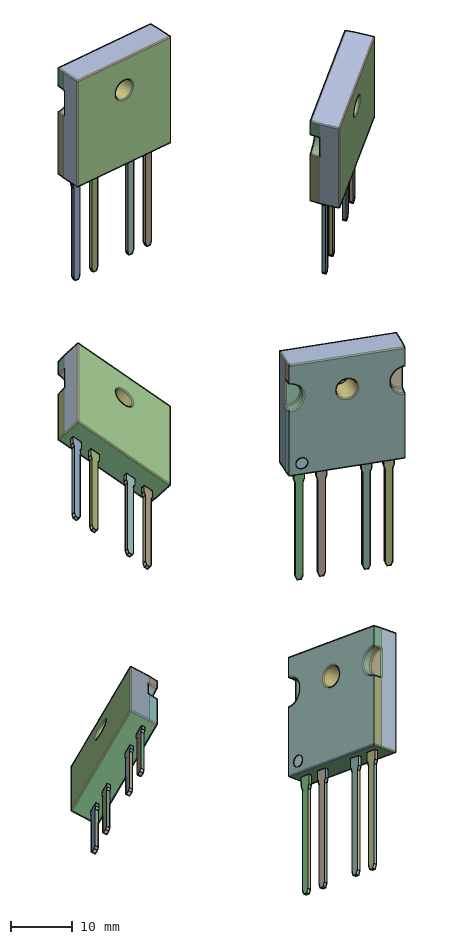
import cadquery as cq

THICKNESS = 5.05
WIDTH = 19.9
TOTAL_HEIGHT = 41.25
HEIGHT = 20.8
PARTING_X = 1.55
TAPER_INSET = 0.12
EDGE_ROUND = 0.2
SELECT_MARGIN = 0.02

HOLE_Z = 14.7
HOLE_DIAMETER = 3.6

NOTCH_Y = 9.82
NOTCH_DIAMETER = 4.95
NOTCH_DEPTH = 1.65
NOTCH_FLOOR_ROUND = 0.2

MARK_DIAMETER = 2.02
MARK_Y = 7.65
MARK_Z = 2.1
MARK_DEPTH = 0.1

LEAD_YS = (-7.6, -3.8, 3.8, 7.6)
LEAD_THICKNESS = 0.6
LEAD_LENGTH = TOTAL_HEIGHT - HEIGHT
SHOULDER_WIDTH = 1.77
SHOULDER_LENGTH = 1.65
NECK_LENGTH = 0.75
LEG_WIDTH = 1.3
TIP_WIDTH = 0.7
TIP_LENGTH = 0.75


def make_block():
    half = WIDTH / 2
    front_half = half - TAPER_INSET
    return (
        cq.Workplane("XY")
        .polyline([
            (0, -front_half),
            (PARTING_X, -half),
            (THICKNESS, -half),
            (THICKNESS, half),
            (PARTING_X, half),
            (0, front_half),
        ])
        .close()
        .extrude(HEIGHT)
    )


def x_cylinder(diameter, depth, y, z):
    return cq.Workplane("YZ").center(y, z).circle(diameter / 2).extrude(depth)


def make_notch(y):
    notch = x_cylinder(NOTCH_DIAMETER, NOTCH_DEPTH, y, HOLE_Z)
    return notch.faces(">X").edges().fillet(NOTCH_FLOOR_ROUND)


def x_slab(x_from, x_to, half_width):
    """Selects the edges centred between two X positions and within half_width of the middle."""
    return cq.selectors.BoxSelector((x_from, -half_width, -HEIGHT), (x_to, half_width, 2 * HEIGHT))


def round_outer_edges(block):
    """Rounds the outer edges and the rims, but keeps the parting lines and front corners sharp."""
    all_but_front_corners = cq.StringSyntaxSelector("not(|Z and <X)")
    parting_lines = x_slab(PARTING_X - SELECT_MARGIN, PARTING_X + SELECT_MARGIN, WIDTH)
    inside_edges = x_slab(SELECT_MARGIN, THICKNESS - SELECT_MARGIN, WIDTH / 2 - 2 * EDGE_ROUND)
    return block.edges(all_but_front_corners - parting_lines - inside_edges).fillet(EDGE_ROUND)


def make_mark():
    return x_cylinder(MARK_DIAMETER, MARK_DEPTH, MARK_Y, MARK_Z)


def make_housing():
    block = make_block()
    for side in (-1, 1):
        block = block.cut(make_notch(side * NOTCH_Y))
    block = block.cut(x_cylinder(HOLE_DIAMETER, THICKNESS, 0, HOLE_Z))
    return round_outer_edges(block).cut(make_mark())


def make_lead(y):
    neck_z = -SHOULDER_LENGTH
    leg_z = neck_z - NECK_LENGTH
    tip_z = -LEAD_LENGTH
    right = [
        (SHOULDER_WIDTH / 2, 0),
        (SHOULDER_WIDTH / 2, neck_z),
        (LEG_WIDTH / 2, leg_z),
        (LEG_WIDTH / 2, tip_z + TIP_LENGTH),
        (TIP_WIDTH / 2, tip_z),
    ]
    left = [(-across, z) for across, z in reversed(right)]
    return (
        cq.Workplane("YZ", origin=(PARTING_X, y, 0))
        .polyline(right + left)
        .close()
        .extrude(LEAD_THICKNESS)
    )


housing = make_housing()
mark = make_mark()
leads = [make_lead(y) for y in LEAD_YS]

result = cq.Compound.makeCompound(
    [housing.val(), mark.val(), *[lead.val() for lead in leads]])